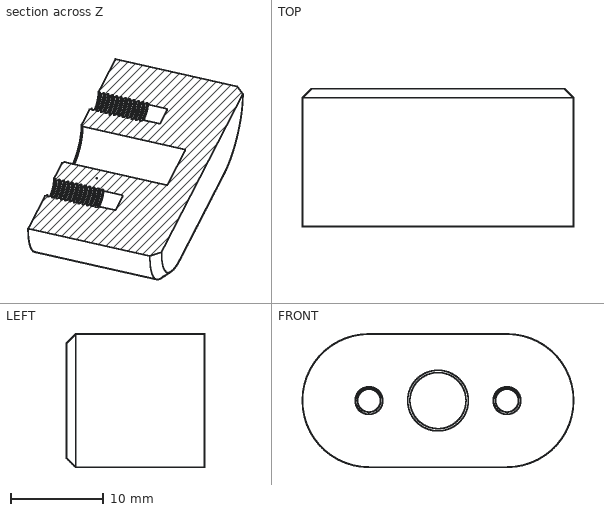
import cadquery as cq

LENGTH = 29.5
HEIGHT = 14.5
DEPTH = 15.0
BACK_CHAMFER = 1.0
FRONT_Y = -DEPTH / 2

BORE_DIAMETER = 6.1
BORE_DEPTH = 12.0
BORE_CHAMFER = 0.25

THREAD_SPACING = LENGTH - HEIGHT
THREAD_MAJOR_DIAMETER = 3.0
THREAD_MINOR_DIAMETER = 2.5
THREAD_PITCH = 0.5
THREAD_CHAMFER = (THREAD_MAJOR_DIAMETER - THREAD_MINOR_DIAMETER) / 2
THREAD_LENGTH = 6.0
TAP_DEPTH = 8.0
CREST_WIDTH = 0.075
GROOVE_MOUTH = THREAD_PITCH - CREST_WIDTH
GROOVE_ROOT = THREAD_PITCH / 8
GROOVE_OVERLAP = 0.05


def chamfered_hole(x, diameter, depth, chamfer):
    """Blind hole going from the front face into the block, with a conical lead-in."""
    radius = diameter / 2
    half_section = cq.Workplane("XY").polyline([
        (0, 0),
        (radius + chamfer, 0),
        (radius, chamfer),
        (radius, depth),
        (0, depth),
    ]).close()
    hole = half_section.revolve(360, (0, 0, 0), (0, 1, 0))
    return hole.translate((x, FRONT_Y, 0))


def make_block():
    """Stadium block with its rear edge chamfered all round."""
    block = cq.Workplane("XZ").slot2D(LENGTH, HEIGHT).extrude(DEPTH / 2, both=True)
    return block.faces(">Y").chamfer(BACK_CHAMFER)


def make_thread_groove():
    """Right-hand helical groove along +Z, starting at Z = 0."""
    inner_radius = THREAD_MINOR_DIAMETER / 2 - GROOVE_OVERLAP
    outer_radius = THREAD_MAJOR_DIAMETER / 2
    helix = cq.Wire.makeHelix(
        THREAD_PITCH, THREAD_LENGTH, THREAD_MINOR_DIAMETER / 2
    )
    profile = cq.Workplane("XZ").polyline([
        (inner_radius, -GROOVE_MOUTH / 2),
        (outer_radius, -GROOVE_ROOT / 2),
        (outer_radius, GROOVE_ROOT / 2),
        (inner_radius, GROOVE_MOUTH / 2),
    ]).close()
    return profile.sweep(cq.Workplane(obj=helix), isFrenet=True)


def cut_threaded_hole(body, groove, x):
    """Chamfered tap hole with the helical groove cut into its wall."""
    placed = groove.rotate((0, 0, 0), (0, 0, 1), 90)
    placed = placed.rotate((0, 0, 0), (1, 0, 0), -90).translate((x, FRONT_Y, 0))
    hole = chamfered_hole(x, THREAD_MINOR_DIAMETER, TAP_DEPTH, THREAD_CHAMFER)
    return body.cut(hole).cut(placed)


body = make_block().cut(chamfered_hole(0, BORE_DIAMETER, BORE_DEPTH, BORE_CHAMFER))
groove = make_thread_groove()
for side in (-1, 1):
    body = cut_threaded_hole(body, groove, side * THREAD_SPACING / 2)

result = body